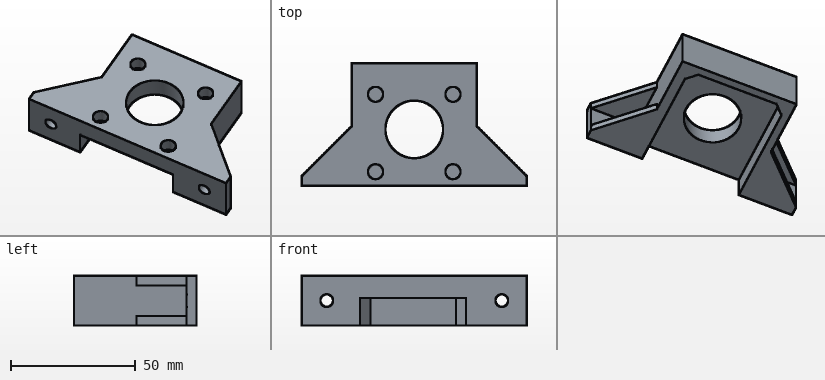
import cadquery as cq

plate_width = 90.2
depth = 49.2
height = 20.0

plate_thickness = 4.0
block_width = 50.15
web_thickness = 3.9
web_reach = (plate_width - block_width) / 2

motor_center_y = 22.6
bore_diameter = 23.0
screw_center_y = 21.2
screw_spacing = 31.0
screw_head_diameter = 6.0
screw_head_depth = 6.0
roof_thickness = 9.0
pocket_width = 42.4
rear_wall = 3.25
pocket_center_x = -0.45
pocket_corner_chamfer = 4.1

mount_spacing = 70.2
mount_diameter = 5.0


def make_body():
    """Front plate and rear block joined by triangular top and bottom webs."""
    plate = cq.Workplane("XY").box(plate_width, plate_thickness, height, centered=(True, False, False))
    block = cq.Workplane("XY").box(block_width, depth, height, centered=(True, False, False))
    body = plate.union(block)
    for side in (-1, 1):
        for base_z in (0, height - web_thickness):
            web = (
                cq.Workplane("XY", origin=(0, 0, base_z))
                .moveTo(0, plate_thickness)
                .lineTo(side * plate_width / 2, plate_thickness)
                .lineTo(side * block_width / 2, plate_thickness + web_reach)
                .lineTo(0, plate_thickness + web_reach)
                .close()
                .extrude(web_thickness)
            )
            body = body.union(web)
    return body


def make_motor_pocket():
    """Pocket open at the bottom and front, with chamfered rear corners."""
    pocket_depth = depth - rear_wall
    return (
        cq.Workplane("XY")
        .box(pocket_width, pocket_depth, height - roof_thickness, centered=(True, False, False))
        .edges("|Z and >Y")
        .chamfer(pocket_corner_chamfer)
        .translate((pocket_center_x, 0, 0))
    )


def make_bore():
    """Central clearance bore through the roof."""
    return cq.Workplane("XY").center(0, motor_center_y).circle(bore_diameter / 2).extrude(height)


def make_screw_recesses():
    """Four blind round recesses sunk from the top face."""
    return (
        cq.Workplane("XY", origin=(0, screw_center_y, height))
        .rect(screw_spacing, screw_spacing, forConstruction=True)
        .vertices()
        .circle(screw_head_diameter / 2)
        .extrude(-screw_head_depth)
    )


def make_mount_holes():
    """Two holes through the front plate, at mid height."""
    return (
        cq.Workplane("XZ", origin=(0, 0, height / 2))
        .pushPoints([(-mount_spacing / 2, 0), (mount_spacing / 2, 0)])
        .circle(mount_diameter / 2)
        .extrude(-plate_thickness)
    )


result = (
    make_body()
    .cut(make_motor_pocket())
    .cut(make_bore())
    .cut(make_screw_recesses())
    .cut(make_mount_holes())
)